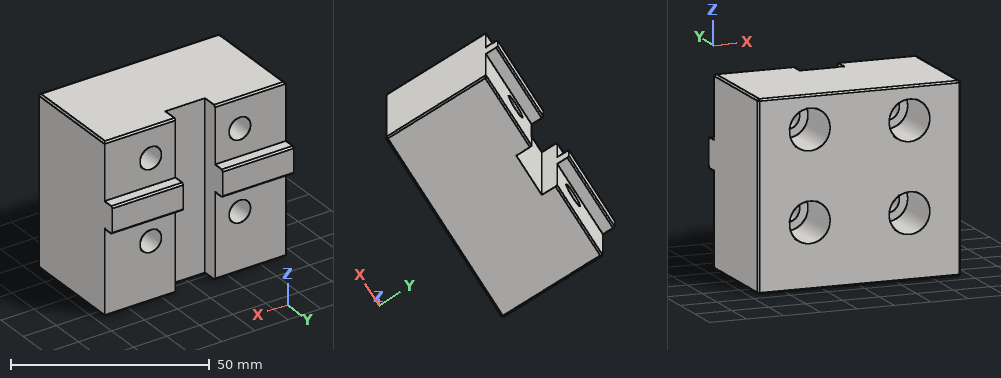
import cadquery as cq

width = 55
body_depth = 30.0
height = 50.5
edge_chamfer = 0.5

key_projection = 3.5
key_height = 8.0
key_chamfer = 0.5

slot_width = 12.0
slot_depth = 8.1

hole_diameter = 6.5
counterbore_diameter = 11
counterbore_depth = body_depth / 2
hole_spacing_x = 27.0
hole_spacing_z = 24.0
pattern_center_drop = 21.0

total_depth = body_depth + key_projection
pattern_center_z = height / 2 - pattern_center_drop


def make_body():
    """Block with every edge chamfered except the two vertical back edges."""
    block = cq.Workplane("XY").box(width, body_depth, height)
    block = block.translate((0, body_depth / 2, 0))
    chamfered_edges = block.edges("not (|Z and >Y)")
    return chamfered_edges.chamfer(edge_chamfer)


def make_key():
    """Full-width key with its two long outer edges chamfered."""
    length_y = total_depth - body_depth / 2
    key = cq.Workplane("XY").box(width, length_y, key_height)
    key = key.faces(">Y").edges("|X").chamfer(key_chamfer)
    return key.translate((0, total_depth - length_y / 2, pattern_center_z))


def make_slot():
    """Cutter for the slot in the back."""
    slot = cq.Workplane("XY").box(slot_width, slot_depth, height)
    return slot.translate((0, total_depth - slot_depth / 2, 0))


def make_holes():
    """Cutters for the counterbored through holes, running along +Y."""
    front = cq.Workplane("XZ", origin=(0, 0, pattern_center_z))
    centers = front.rarray(hole_spacing_x, hole_spacing_z, 2, 2)
    through_holes = centers.circle(hole_diameter / 2).extrude(-body_depth)
    counterbores = centers.circle(counterbore_diameter / 2).extrude(-counterbore_depth)
    return through_holes.union(counterbores)


result = make_body().union(make_key()).cut(make_slot()).cut(make_holes())